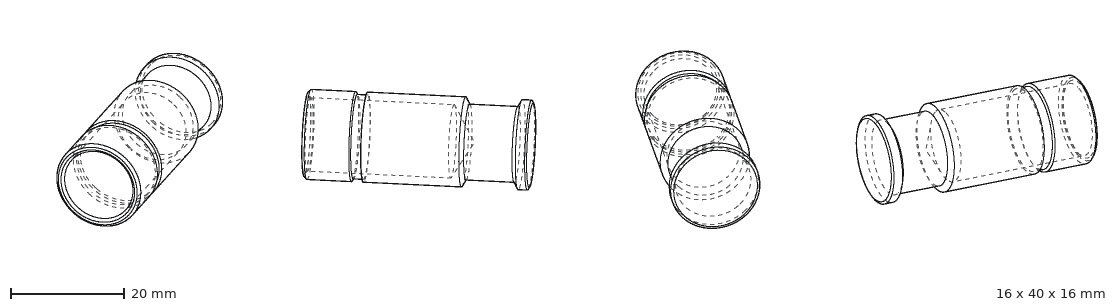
import cadquery as cq
import math

length = 40.0
outer_radius = 16.0 / 2
neck_radius = 13.5 / 2
groove_radius = 15.0 / 2
bore_radius = 13.0 / 2

groove_start = 8.7
groove_end = 10.5
body_end = 28.7
neck_end = 37.3

edge_chamfer = outer_radius - groove_radius
shallow_angle = math.radians(30)
shallow_chamfer_length = edge_chamfer * math.tan(shallow_angle)
taper_length = (outer_radius - neck_radius) * math.tan(shallow_angle)

bore_depth = 26.0
drill_point_angle = 118.0
drill_point_length = bore_radius / math.tan(math.radians(drill_point_angle / 2))


def revolve_about_y(points):
    """Revolve a closed (radius, Y) outline a full turn about the Y axis."""
    return cq.Workplane("XY").polyline(points).close().revolve(360, (0, 0, 0), (0, 1, 0))


def make_body():
    """Stepped outside: mouth collar, groove, main body, neck and end flange."""
    return revolve_about_y([
        (0, 0),
        (outer_radius - edge_chamfer, 0),
        (outer_radius, edge_chamfer),
        (outer_radius, groove_start - shallow_chamfer_length),
        (groove_radius, groove_start),
        (groove_radius, groove_end),
        (outer_radius, groove_end),
        (outer_radius, body_end - taper_length),
        (neck_radius, body_end),
        (neck_radius, neck_end),
        (outer_radius, neck_end + taper_length),
        (outer_radius, length - shallow_chamfer_length),
        (outer_radius - edge_chamfer, length),
        (0, length),
    ])


def make_bore():
    """Blind bore with a chamfered mouth and a drill point."""
    return revolve_about_y([
        (0, 0),
        (bore_radius + edge_chamfer, 0),
        (bore_radius, edge_chamfer),
        (bore_radius, bore_depth),
        (0, bore_depth + drill_point_length),
    ])


result = make_body().cut(make_bore())